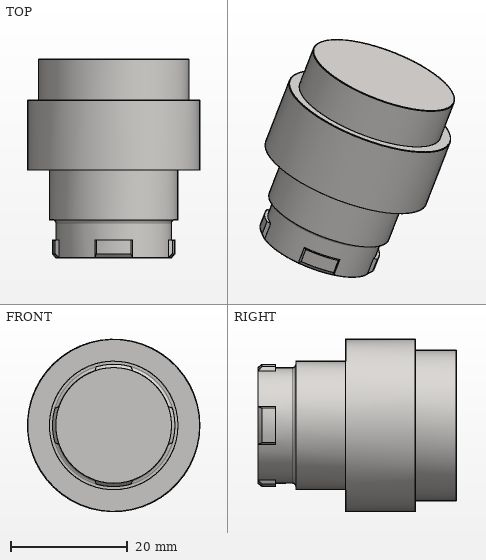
import cadquery as cq

LENGTH = 34.0
SHOULDER_Y = 6.5
RING_FRONT_Y = 15.0
RING_BACK_Y = 27.0

NECK_DIAMETER = 19.8
BODY_DIAMETER = 22.0
CAP_DIAMETER = 25.8
RING_DIAMETER = 29.5

BACK_CHAMFER = 0.1
NECK_FILLET = 0.58

LUG_COUNT = 4
LUG_HEIGHT = 0.58
LUG_LENGTH = 3.03
LUG_BEVEL_LENGTH = 0.68
LUG_ROOT_WIDTH = 6.45
LUG_TIP_WIDTH = 5.9
LUG_OVERLAP = 0.68

NECK_RADIUS = NECK_DIAMETER / 2
LUG_RADIUS = NECK_RADIUS + LUG_HEIGHT


def cylinder(diameter, start_y, end_y):
    """Cylinder on the Y axis between two stations."""
    plane = cq.Workplane("XZ", origin=(0, start_y, 0))
    return plane.circle(diameter / 2).extrude(start_y - end_y)


def make_turned_body():
    """Stepped body: neck, main body, large ring and rear cap."""
    body = cylinder(BODY_DIAMETER, SHOULDER_Y, RING_FRONT_Y)
    ring = cylinder(RING_DIAMETER, RING_FRONT_Y, RING_BACK_Y)
    ring = ring.faces(">Y").edges().chamfer(BACK_CHAMFER)
    cap = cylinder(CAP_DIAMETER, RING_BACK_Y, LENGTH)
    cap = cap.faces(">Y").edges().chamfer(BACK_CHAMFER)
    return make_neck().union(body).union(ring).union(cap)


def make_neck():
    """Neck that flares through a concave fillet into the shoulder."""
    fillet_start_y = SHOULDER_Y - NECK_FILLET
    flare_radius = NECK_RADIUS + NECK_FILLET
    fillet_offset = NECK_FILLET * (1 - 0.5 ** 0.5)
    profile = (
        cq.Workplane("XY")
        .lineTo(NECK_RADIUS, 0)
        .lineTo(NECK_RADIUS, fillet_start_y)
        .threePointArc(
            (NECK_RADIUS + fillet_offset, SHOULDER_Y - fillet_offset),
            (flare_radius, SHOULDER_Y),
        )
        .lineTo(0, SHOULDER_Y)
        .close()
    )
    return profile.revolve(360, (0, 0, 0), (0, 1, 0))


def make_lug():
    """One lug on the +Z side, with tapered flanks and a conical front bevel."""
    lug_band = (
        cq.Workplane("XY")
        .lineTo(NECK_RADIUS, 0)
        .lineTo(LUG_RADIUS, LUG_BEVEL_LENGTH)
        .lineTo(LUG_RADIUS, LUG_LENGTH)
        .lineTo(0, LUG_LENGTH)
        .close()
        .revolve(360, (0, 0, 0), (0, 1, 0))
    )
    root_z = (NECK_RADIUS ** 2 - (LUG_ROOT_WIDTH / 2) ** 2) ** 0.5
    tip_z = (LUG_RADIUS ** 2 - (LUG_TIP_WIDTH / 2) ** 2) ** 0.5
    slope = (LUG_TIP_WIDTH - LUG_ROOT_WIDTH) / 2 / (tip_z - root_z)
    bottom_z = root_z - LUG_OVERLAP
    top_z = LUG_RADIUS + LUG_OVERLAP
    bottom_half = LUG_ROOT_WIDTH / 2 + slope * (bottom_z - root_z)
    top_half = LUG_ROOT_WIDTH / 2 + slope * (top_z - root_z)
    wedge = (
        cq.Workplane("XZ")
        .moveTo(-bottom_half, bottom_z)
        .lineTo(bottom_half, bottom_z)
        .lineTo(top_half, top_z)
        .lineTo(-top_half, top_z)
        .close()
        .extrude(-LUG_LENGTH)
    )
    return lug_band.intersect(wedge)


result = make_turned_body()
lug = make_lug()
for index in range(LUG_COUNT):
    angle = index * 360 / LUG_COUNT
    result = result.union(lug.rotate((0, 0, 0), (0, 1, 0), angle))